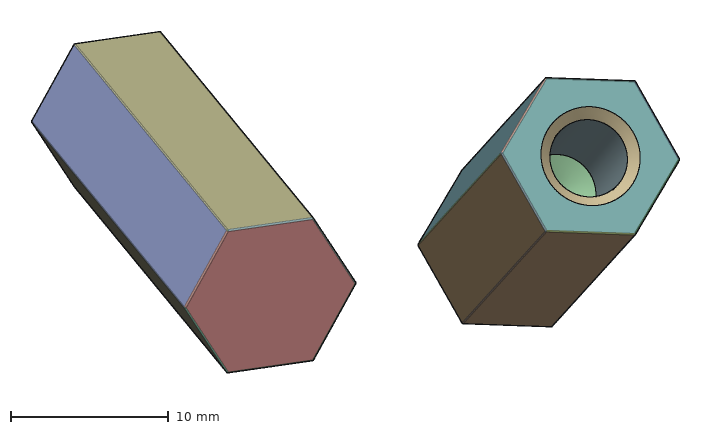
import cadquery as cq
import math

LENGTH = 30.0
ACROSS_FLATS = 10.0
EDGE_RADIUS = 0.1
HEXAGON_SIDES = 6

BORE_DIAMETER = 5.0
BORE_DEPTH = 12.0
MOUTH_DIAMETER = 6.4
MOUTH_ANGLE = 90.0
DRILL_POINT_ANGLE = 120.0


def cone_length(radius_change, included_angle):
    """Axial length over which a cone's radius changes by the given amount."""
    return radius_change / math.tan(math.radians(included_angle / 2))


def hexagonal_bar():
    """Bar with flats facing up and down and all its edges lightly rounded."""
    across_corners = ACROSS_FLATS / math.cos(math.pi / HEXAGON_SIDES)
    bar = cq.Workplane("YZ").polygon(HEXAGON_SIDES, across_corners).extrude(LENGTH)
    return bar.edges().fillet(EDGE_RADIUS)


def drilled_hole():
    """Solid of revolution about X that fills the hole."""
    bore_radius = BORE_DIAMETER / 2
    mouth_radius = MOUTH_DIAMETER / 2
    mouth_depth = cone_length(mouth_radius - bore_radius, MOUTH_ANGLE)
    point_length = cone_length(bore_radius, DRILL_POINT_ANGLE)
    half_profile = (
        cq.Workplane("XY")
        .moveTo(0, 0)
        .lineTo(0, mouth_radius)
        .lineTo(mouth_depth, bore_radius)
        .lineTo(BORE_DEPTH, bore_radius)
        .lineTo(BORE_DEPTH + point_length, 0)
        .close()
    )
    return half_profile.revolve(360, (0, 0, 0), (1, 0, 0))


result = hexagonal_bar().cut(drilled_hole())